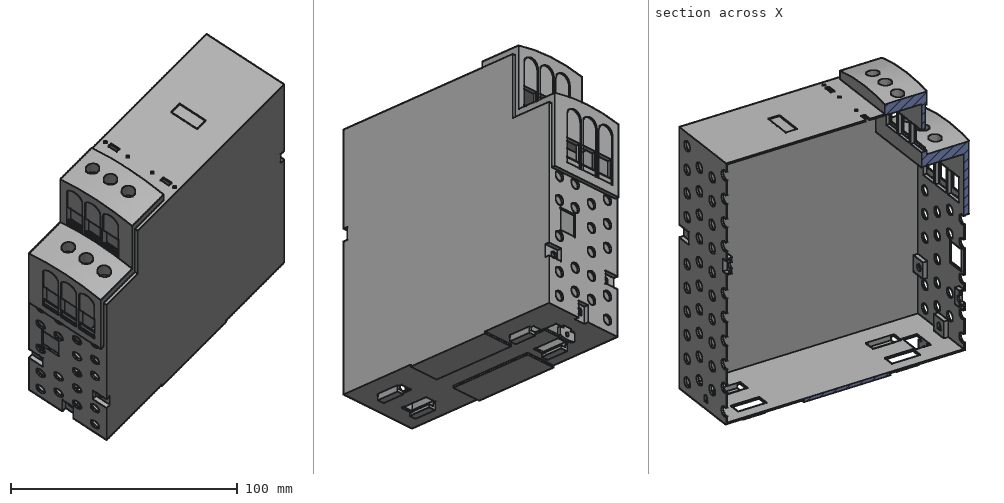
import cadquery as cq


overall_height = 145.3

body_width = 44.0
body_depth = 125.0
body_height = 132.5
step_depth = 103.0
step_height = 100.5
wall = 1.0

hood_width = 40.8
hood_rear = 82.8
hood_upper_front = 104.9
hood_front = 127.0
hood_bottom = 68.5
arch_rise = 2.2
upper_crown = 138.9
lower_crown = 107.1

terminal_pitch = 10.2
terminal_shift = 4.2
screw_hole_diameter = 6.1
upper_screw_depth = 92.3
lower_screw_depth = 114.5
window_width = 9.0
window_recess = 0.7
window_plate = 0.5
window_height = 28.2
upper_window_top = 133.7
upper_window_bottom = 107.2
lower_window_top = 101.4
opening_top_drop = 15.3
opening_height = 9.6
opening_margin = 0.5

vent_diameter = 5.0
vent_rows = 21
vent_first_row = 6.1
vent_last_row = 125.8
vent_row_pitch = (vent_last_row - vent_first_row) / (vent_rows - 1)
inner_column = 5.2
outer_column = 15.4
rear_notch_row = 13

front_window_left = -14.7
front_window_right = -5.1
front_window_bottom = 39.4
front_window_top = 50.5

notch_depth = 2.3
notch_width = 7.8
notch_height = 6.4
notch_hole_diameter = 3.2
notch_hole_x = 16.5
front_notch_z = 27.0
rear_notch_z = 79.8
keyway_width = 6.1
keyway_height = 8.6
keyway_hole_width = 2.8
keyway_hole_bottom = 3.6
keyway_hole_top = 7.0

label_width = 14.7
label_length = 6.0
label_recess = 0.6
label_center = 40.1
small_row_depth = 74.1
small_hole_diameter = 1.5
small_hole_inner_x = 7.0
small_hole_outer_x = 19.6
small_slot_x = 14.8
small_slot_length = 4.8
small_slot_width = 2.0

pad_rear = 40.8
pad_front = 86.0
pad_height = 1.0
pad_gap = 10.6
clip_centers = (17.5, 97.6)
clip_length = 11.9
clip_height = 3.2
clip_foot = 1.6
clip_outer = 12.0
clip_wall_inner = 10.9
clip_foot_inner = 8.3
clip_opening_inner = 4.8
clip_opening_length = 14.8

hook_rear = 113.8
hook_thickness = 1.5
hook_neck_width = 4.8
hook_head_width = 9.2
hook_head_top = -1.3
hook_shoulder = -5.5
hook_bottom = upper_crown - overall_height
hook_hole_width = 1.6
hook_hole_height = 2.2
hook_hole_z = -3.6
hook_slot_width = 11.3
hook_slot_length = 7.7

half_width = body_width / 2
through_wall = 3 * wall


def block(x_left, x_right, rear, front, bottom, top):
    """Box between two X positions, two distances from the rear face, and two heights."""
    return (
        cq.Workplane("XY")
        .box(x_right - x_left, front - rear, top - bottom, centered=False)
        .translate((x_left, -front, bottom))
    )


def face_plane(rear):
    """XZ workplane at a distance from the rear face; extruding goes forward."""
    return cq.Workplane("XZ", origin=(0, -rear, 0))


def stepped_box(inset):
    """Housing envelope, pulled in on every face by the inset."""
    points = [
        (-inset, inset),
        (inset - body_depth, inset),
        (inset - body_depth, step_height - inset),
        (inset - step_depth, step_height - inset),
        (inset - step_depth, body_height - inset),
        (-inset, body_height - inset),
    ]
    return cq.Workplane("YZ").polyline(points).close().extrude(half_width - inset, both=True)


def arched_block(rear, front, bottom, crown):
    """Hood block with a shallow arch across its top."""
    half = hood_width / 2
    return (
        face_plane(rear)
        .moveTo(-half, bottom)
        .lineTo(half, bottom)
        .lineTo(half, crown - arch_rise)
        .threePointArc((0, crown), (-half, crown - arch_rise))
        .close()
        .extrude(front - rear)
    )


def terminal_centers(shift):
    """X positions of the three terminals of one level."""
    middle = shift - terminal_shift / 2
    return [middle + terminal_pitch * i for i in (-1, 0, 1)]


def arched_slot(x, rear, front, width, bottom, top):
    """Upright slot with a flat bottom and a half-round top."""
    radius = width / 2
    return (
        face_plane(rear)
        .moveTo(x - radius, bottom)
        .lineTo(x + radius, bottom)
        .lineTo(x + radius, top - radius)
        .threePointArc((x, top), (x - radius, top - radius))
        .close()
        .extrude(front - rear)
    )


def terminal_cuts(x, level_front, plate_rear, window_bottom, window_top, screw_depth, floor):
    """Recessed window with a thin floor, opening into the cavity and screw hole of one terminal."""
    window = arched_slot(
        x, level_front - window_recess, level_front, window_width, window_bottom, window_top
    )
    opening_top = window_top - opening_top_drop
    opening = block(
        x - window_width / 2,
        x + window_width / 2 - opening_margin,
        plate_rear,
        level_front,
        opening_top - opening_height,
        opening_top,
    )
    clearance = block(
        x - window_width / 2,
        x + window_width / 2,
        plate_rear,
        level_front - window_recess - window_plate,
        window_bottom,
        opening_top,
    )
    screw_hole = (
        cq.Workplane("XY", origin=(x, -screw_depth, floor))
        .circle(screw_hole_diameter / 2)
        .extrude(upper_crown - floor)
    )
    return window.union(opening).union(clearance).union(screw_hole)


def vent_cuts(rear, front, positions):
    """Vent holes at (column X, row number) positions, through one wall."""
    points = [(x, vent_first_row + (row - 1) * vent_row_pitch) for x, row in positions]
    return face_plane(rear).pushPoints(points).circle(vent_diameter / 2).extrude(front - rear)


def mirrored(columns):
    """The same columns on both sides of the middle."""
    return [side * x for x in columns for side in (-1, 1)]


def side_notch(side, rear, front, height_center, margin):
    """Block at one side edge, grown inward, up and down by the margin."""
    inner = half_width - notch_width - margin
    edges = sorted((side * inner, side * half_width))
    reach = notch_height / 2 + margin
    return block(*edges, rear, front, height_center - reach, height_center + reach)


upper_hood = arched_block(hood_rear, hood_upper_front, step_height, upper_crown)
lower_hood = arched_block(step_depth, hood_front, hood_bottom, lower_crown)
shell = stepped_box(0).union(upper_hood).union(lower_hood).cut(stepped_box(wall))

for center in terminal_centers(0):
    shell = shell.cut(
        terminal_cuts(
            center,
            hood_upper_front,
            step_depth - through_wall,
            upper_window_bottom,
            upper_window_top,
            upper_screw_depth,
            body_height - through_wall,
        )
    )
for center in terminal_centers(terminal_shift):
    shell = shell.cut(
        terminal_cuts(
            center,
            hood_front,
            body_depth - through_wall,
            lower_window_top - window_height,
            lower_window_top,
            lower_screw_depth,
            step_height - through_wall,
        )
    )

outer_rows = [row for row in range(1, vent_rows + 1, 2) if row != rear_notch_row]
inner_rows = range(2, vent_rows, 2)
rear_vents = [(x, row) for row in outer_rows for x in mirrored([outer_column])]
rear_vents += [(x, row) for row in inner_rows for x in mirrored([inner_column])]
shell = shell.cut(vent_cuts(0, through_wall, rear_vents))

front_vents = [(x, row) for row in (1, 3, 9, 11) for x in mirrored([outer_column])]
front_vents += [(x, row) for row in (2, 4) for x in mirrored([inner_column])]
front_vents += [(inner_column, row) for row in (6, 8, 10)]
front_vents += [(-inner_column, row) for row in (9, 11)]
front_vents += [(outer_column, 7), (-outer_column, 6)]
shell = shell.cut(vent_cuts(body_depth - through_wall, body_depth, front_vents))

front_window = block(
    front_window_left,
    front_window_right,
    body_depth - through_wall,
    body_depth,
    front_window_bottom,
    front_window_top,
)
shell = shell.cut(front_window)

notch_wall_depth = notch_depth + wall
for side in (-1, 1):
    x_hole = side * notch_hole_x
    for z, is_front in ((front_notch_z, True), (rear_notch_z, False)):
        face = body_depth if is_front else 0
        inward = -1 if is_front else 1
        pocket = sorted((face, face + inward * notch_depth))
        walled = sorted((face, face + inward * notch_wall_depth))
        hole = (
            face_plane(walled[0])
            .center(x_hole, z)
            .circle(notch_hole_diameter / 2)
            .extrude(notch_wall_depth)
        )
        shell = shell.union(side_notch(side, *walled, z, wall))
        shell = shell.cut(side_notch(side, *pocket, z, 0)).cut(hole)

keyway_half = keyway_width / 2
keyway_walls = block(
    -keyway_half - wall,
    keyway_half + wall,
    body_depth - notch_wall_depth,
    body_depth,
    0,
    keyway_height + wall,
)
keyway = block(-keyway_half, keyway_half, body_depth - notch_depth, body_depth, 0, keyway_height)
keyway_hole = arched_slot(0, 0, body_depth, keyway_hole_width, keyway_hole_bottom, keyway_hole_top)
shell = shell.union(keyway_walls).cut(keyway).cut(keyway_hole)

label = (
    cq.Workplane("XY", origin=(0, -label_center, body_height - label_recess))
    .rect(label_width, label_length)
    .extrude(label_recess)
)
small_row = cq.Workplane("XY", origin=(0, -small_row_depth, body_height - through_wall))
small_holes = (
    small_row.pushPoints([(x, 0) for x in mirrored([small_hole_inner_x, small_hole_outer_x])])
    .circle(small_hole_diameter / 2)
    .extrude(through_wall)
)
small_slots = (
    small_row.pushPoints([(x, 0) for x in mirrored([small_slot_x])])
    .rect(small_slot_length, small_slot_width)
    .extrude(through_wall)
)
shell = shell.cut(label).cut(small_holes).cut(small_slots)

for side in (-1, 1):
    pad_edges = sorted((side * pad_gap / 2, side * half_width))
    shell = shell.union(block(*pad_edges, pad_rear, pad_front, -pad_height, 0))

    opening_edges = sorted((side * clip_opening_inner, side * clip_wall_inner))
    wall_edges = sorted((side * clip_wall_inner, side * clip_outer))
    foot_edges = sorted((side * clip_foot_inner, side * clip_outer))
    for center in clip_centers:
        clip_ends = (center - clip_length / 2, center + clip_length / 2)
        opening_ends = (center - clip_opening_length / 2, center + clip_opening_length / 2)
        shell = shell.cut(block(*opening_edges, *opening_ends, 0, wall))
        shell = shell.union(block(*wall_edges, *clip_ends, -clip_height, wall))
        shell = shell.union(block(*foot_edges, *clip_ends, -clip_height, clip_foot - clip_height))

neck_half = hook_neck_width / 2
head_half = hook_head_width / 2
hook = (
    face_plane(hook_rear)
    .moveTo(-neck_half, wall)
    .lineTo(neck_half, wall)
    .lineTo(neck_half, hook_head_top)
    .lineTo(head_half, hook_head_top)
    .lineTo(head_half, hook_shoulder)
    .threePointArc((0, hook_bottom), (-head_half, hook_shoulder))
    .lineTo(-head_half, hook_head_top)
    .lineTo(-neck_half, hook_head_top)
    .close()
    .extrude(hook_thickness)
)
hook_hole = (
    face_plane(hook_rear)
    .center(0, hook_hole_z)
    .ellipse(hook_hole_width / 2, hook_hole_height / 2)
    .extrude(hook_thickness)
)
hook_slot = block(
    -hook_slot_width / 2, hook_slot_width / 2, hook_rear - hook_slot_length, hook_rear, 0, wall
)
result = shell.cut(hook_slot).union(hook.cut(hook_hole))